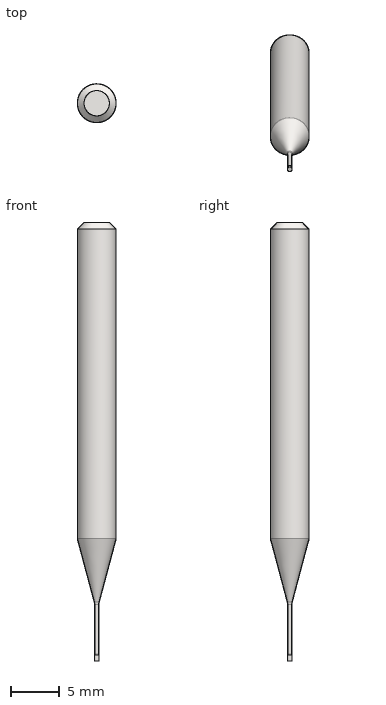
import cadquery as cq
import math

overall_length = 45.0
shank_radius = 2.0
shank_chamfer = 0.7
tip_radius = 0.25
tip_length = 0.6
neck_radius = 0.225
neck_relief_length = 0.12
neck_end = 5.8
neck_fillet_radius = 1.0
cone_half_angle = math.radians(15)

fillet_center_radius = neck_radius + neck_fillet_radius


def fillet_point(angle):
    """Radius and height on the neck fillet, with the angle measured from the neck."""
    radius = fillet_center_radius - neck_fillet_radius * math.cos(angle)
    height = neck_end + neck_fillet_radius * math.sin(angle)
    return radius, height


cone_start = fillet_point(cone_half_angle)
cone_rise = (shank_radius - cone_start[0]) / math.tan(cone_half_angle)
cone_end_height = cone_start[1] + cone_rise


def make_cutting_tip():
    """Plain flat-ended cylinder, slightly thicker than the neck."""
    return cq.Workplane("XY").circle(tip_radius).extrude(tip_length)


def make_shank():
    """Neck, cone and chamfered shank in one turned piece, standing on the tip."""
    profile = (
        cq.Workplane("XZ")
        .moveTo(0, tip_length)
        .lineTo(tip_radius, tip_length)
        .lineTo(neck_radius, tip_length + neck_relief_length)
        .lineTo(neck_radius, neck_end)
        .threePointArc(fillet_point(cone_half_angle / 2), cone_start)
        .lineTo(shank_radius, cone_end_height)
        .lineTo(shank_radius, overall_length - shank_chamfer)
        .lineTo(shank_radius - shank_chamfer, overall_length)
        .lineTo(0, overall_length)
    )
    return profile.close().revolve(360, (0, 0, 0), (0, 1, 0))


cutting_tip = make_cutting_tip()
shank = make_shank()

result = cq.Compound.makeCompound([cutting_tip.val(), shank.val()])